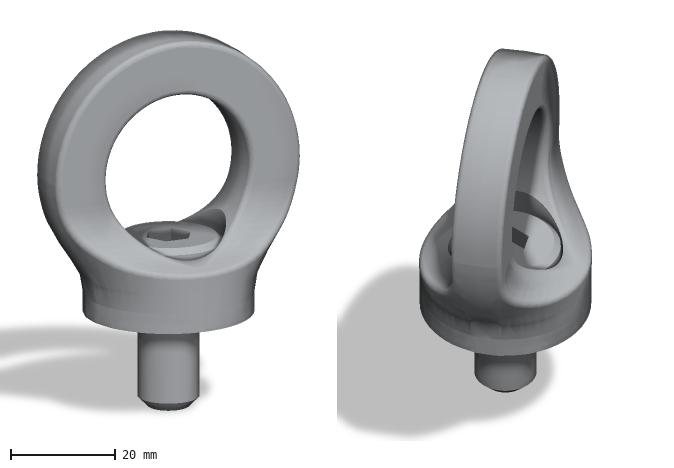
import cadquery as cq
import math

overall_length = 73.8

base_radius = 33.0 / 2
base_height = 4.0

ring_radius = 51.9 / 2
ring_center_z = 28.9
ring_half_width = 9.95 / 2
hole_radius = 15.05
hole_barrel_radius = 63.5
edge_fillet = 1.0

neck_slope = 35.0
flat_exponent = 3.0
flatten_start_z = 14.75

flank_radius = 12.55
flank_start_z = 24.35
shoulder_slope = 20.0

screw_radius = 6.0
screw_chamfer = 2.0
screw_tip_z = ring_center_z + ring_radius - overall_length
disc_radius = 13.4
disc_thickness = 0.9

head_radius = 10.6
head_top_z = 15.1
head_chamfer_height = 1.1
head_chamfer_width = 1.25
head_pocket_radius = 11.1
head_pocket_floor_z = base_height
hex_across_flats = 8.1
hex_depth = 3.8

section_count = 14
points_per_quarter = 8
disc_overlap = 0.4
clearance = 7.4


def half_length(z):
    """Half the Y length of the body at height z: cylinder, hollow arc, straight side, ring circle."""
    slope = math.radians(neck_slope)
    tangent_y = ring_radius * math.cos(slope)
    tangent_z = ring_center_z - ring_radius * math.sin(slope)
    corner_z = tangent_z - (tangent_y - base_radius) / math.tan(slope)
    hollow_radius = (corner_z - base_height) / math.tan(slope / 2)
    hollow_top_z = base_height + hollow_radius * math.sin(slope)
    if z < hollow_top_z:
        return base_radius + hollow_radius - math.sqrt(hollow_radius**2 - (z - base_height) ** 2)
    if z < tangent_z:
        return tangent_y - (tangent_z - z) * math.tan(slope)
    return math.sqrt(ring_radius**2 - (ring_center_z - z) ** 2)


def section_exponent(z):
    """Superellipse exponent of the section, from 2 (ellipse) up to its value at the ring."""
    growth = max(0.0, (z - flatten_start_z) / (ring_center_z - flatten_start_z))
    return 2.0 + (flat_exponent - 2.0) * growth


def section_wire(z):
    """Quarter of the body's section at height z, bounded by the XZ and YZ planes."""
    length = half_length(z)
    exponent = section_exponent(z)
    points = [cq.Vector(base_radius, 0, z)]
    for i in range(1, points_per_quarter):
        angle = math.pi / 2 * i / points_per_quarter
        x_share = math.cos(angle)
        y_share = (1 - x_share**exponent) ** (1 / exponent)
        points.append(cq.Vector(base_radius * x_share, length * y_share, z))
    points.append(cq.Vector(0, length, z))
    rim = cq.Edge.makeSpline(points, tangents=[cq.Vector(0, 1, 0), cq.Vector(-1, 0, 0)])
    axis_point = cq.Vector(0, 0, z)
    return cq.Wire.assembleEdges(
        [rim, cq.Edge.makeLine(points[-1], axis_point), cq.Edge.makeLine(axis_point, points[0])]
    )


def make_quarter_blank():
    """Quarter of the solid body: base, neck and the upper ring turned from the top section."""
    step = (ring_center_z - base_height) / (section_count - 1)
    sections = [section_wire(base_height + i * step) for i in range(section_count)]
    neck = cq.Workplane(cq.Solid.makeLoft(sections))
    down_to_underside = cq.Vector(0, 0, -base_height)
    base = cq.Workplane(cq.Solid.extrudeLinear(sections[0], [], down_to_underside))
    axis_start = cq.Vector(0, 0, ring_center_z)
    axis_end = cq.Vector(0.75, 0, ring_center_z)
    top_section = neck.faces(">Z").wires().val()
    ring_top = cq.Workplane(cq.Solid.revolve(top_section, [], 90, axis_start, axis_end))
    return neck.union(ring_top, clean=False).union(base, clean=False)


def make_flank_envelope():
    """+X half of the XZ outline (ring face, hollow, shoulder, base), run along Y."""
    slope = math.radians(shoulder_slope)
    center_x = ring_half_width + flank_radius
    end_x = center_x - flank_radius * math.sin(slope)
    end_z = flank_start_z - flank_radius * math.cos(slope)
    middle = (math.pi / 2 - slope) / 2
    middle_x = center_x - flank_radius * math.cos(middle)
    middle_z = flank_start_z - flank_radius * math.sin(middle)
    outer_x = base_radius + clearance
    outer_z = end_z - (outer_x - end_x) * math.tan(slope)
    top_z = ring_center_z + ring_radius + clearance
    return (
        cq.Workplane("XZ")
        .moveTo(0, top_z)
        .lineTo(ring_half_width, top_z)
        .lineTo(ring_half_width, flank_start_z)
        .threePointArc((middle_x, middle_z), (end_x, end_z))
        .lineTo(outer_x, outer_z)
        .lineTo(outer_x, 0)
        .lineTo(0, 0)
        .close()
        .extrude(ring_radius + clearance, both=True)
    )


def make_bore():
    """Ring hole with a bulging wall, turned about the ring axis."""
    end_x = base_radius
    end_radius = hole_radius + hole_barrel_radius - math.sqrt(hole_barrel_radius**2 - end_x**2)
    return (
        cq.Workplane("XY", origin=(0, 0, ring_center_z))
        .moveTo(-end_x, 0)
        .lineTo(-end_x, end_radius)
        .threePointArc((0, hole_radius), (end_x, end_radius))
        .lineTo(end_x, 0)
        .close()
        .revolve(360, (0, 0), (1, 0))
    )


def round_flank_edges(quarter):
    """Round the curved edges where the flank meets the outer skin and the bore."""
    tolerance = 0.01
    flank_edges = []
    for edge in quarter.edges("not %LINE").vals():
        nearest_x = min(edge.startPoint().x, edge.endPoint().x)
        if nearest_x > ring_half_width - tolerance and edge.positionAt(0.5).y > tolerance:
            flank_edges.append(edge)
    return quarter.newObject(flank_edges).fillet(edge_fillet)


def make_body():
    quarter = make_quarter_blank().intersect(make_flank_envelope(), clean=False).cut(make_bore(), clean=False)
    quarter = round_flank_edges(quarter)
    half = quarter.union(quarter.mirror("YZ"))
    return half.union(half.mirror("XZ"))


def make_head_pocket():
    return (
        cq.Workplane("XY", origin=(0, 0, head_pocket_floor_z))
        .circle(head_pocket_radius)
        .extrude(ring_center_z - head_pocket_floor_z)
    )


def make_screw():
    """Head, shank and disc turned about Z, with a hexagon socket in the head."""
    head_edge_z = head_top_z - head_chamfer_height
    screw = (
        cq.Workplane("XZ")
        .moveTo(0, head_top_z)
        .lineTo(head_radius - head_chamfer_width, head_top_z)
        .lineTo(head_radius, head_edge_z)
        .lineTo(head_radius, head_pocket_floor_z - disc_overlap)
        .lineTo(disc_radius, head_pocket_floor_z - disc_overlap)
        .lineTo(disc_radius, -disc_thickness)
        .lineTo(screw_radius, -disc_thickness)
        .lineTo(screw_radius, screw_tip_z + screw_chamfer)
        .lineTo(screw_radius - screw_chamfer, screw_tip_z)
        .lineTo(0, screw_tip_z)
        .close()
        .revolve(360, (0, 0), (0, 1))
    )
    half_corner_angle = 30
    corner_diameter = hex_across_flats / math.cos(math.radians(half_corner_angle))
    socket = (
        cq.Workplane("XY", origin=(0, 0, head_top_z - hex_depth))
        .transformed(rotate=(0, 0, half_corner_angle))
        .polygon(6, corner_diameter)
        .extrude(hex_depth)
    )
    return screw.cut(socket)


result = make_body().cut(make_head_pocket()).union(make_screw())